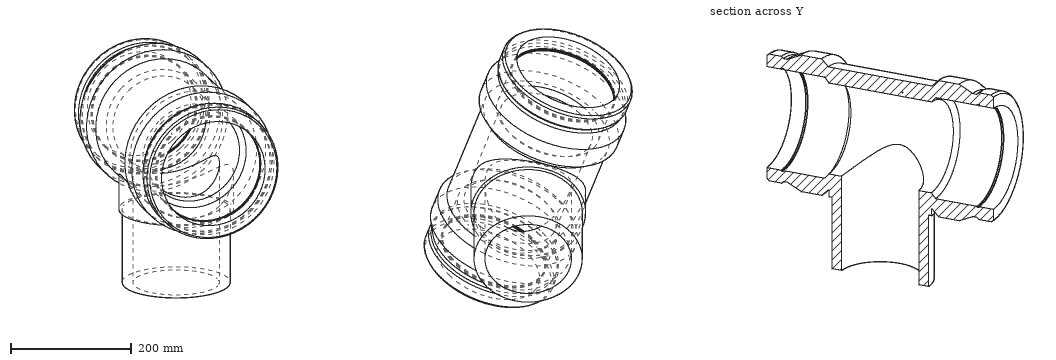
import cadquery as cq

run_length = 422.0
run_radius = 221.0 / 2
collar_radius = 228.0 / 2
bulge_radius = 245.0 / 2
bore_radius = 162.0 / 2
socket_radius = 180.0 / 2

socket_depth = 107.5
stop_end = 115.5
seal_groove_start = 27.0
seal_groove_end = 30.5
seal_groove_radius = socket_radius + 1.5

collar_start = 4.2
collar_end = 27.5
groove_start = 31.2
groove_end = 38.5
bulge_start = 63.7
bulge_end = 102.0
pipe_start = 114.8

branch_radius = 180.0 / 2
branch_bore_radius = 144.0 / 2
sleeve_radius = 191.0 / 2
sleeve_bottom = -bulge_radius
overall_height = 372.5
branch_bottom = bulge_radius - overall_height


def revolve_about_x(points):
    """Turn a closed (x, radius) outline about the X axis."""
    return cq.Workplane("XY").polyline(points).close().revolve(360, (0, 0, 0), (1, 0, 0))


def vertical_cylinder(radius, bottom):
    """Cylinder on the branch axis, from the bottom height up to the run axis."""
    return cq.Workplane("XY").workplane(offset=bottom).circle(radius).extrude(-bottom)


def mirrored_outline(half_profile):
    """Close a left-hand (end distance, radius) profile into a symmetric outline on the axis."""
    end = run_length / 2
    left = [(distance - end, radius) for distance, radius in half_profile]
    right = [(-x, radius) for x, radius in reversed(left)]
    return [(-end, 0)] + left + right + [(end, 0)]


run_profile = [
    (0, run_radius),
    (collar_start, collar_radius),
    (collar_end, collar_radius),
    (groove_start, run_radius),
    (groove_end, run_radius),
    (bulge_start, bulge_radius),
    (bulge_end, bulge_radius),
    (pipe_start, run_radius),
]
bore_profile = [
    (0, socket_radius),
    (seal_groove_start, socket_radius),
    (seal_groove_start, seal_groove_radius),
    (seal_groove_end, seal_groove_radius),
    (seal_groove_end, socket_radius),
    (socket_depth, socket_radius),
    (stop_end, bore_radius),
]

run = revolve_about_x(mirrored_outline(run_profile))
run_bore = revolve_about_x(mirrored_outline(bore_profile))
sleeve = vertical_cylinder(sleeve_radius, sleeve_bottom)
branch = vertical_cylinder(branch_radius, branch_bottom)
branch_bore = vertical_cylinder(branch_bore_radius, branch_bottom)

result = run.union(sleeve).union(branch).cut(run_bore).cut(branch_bore)